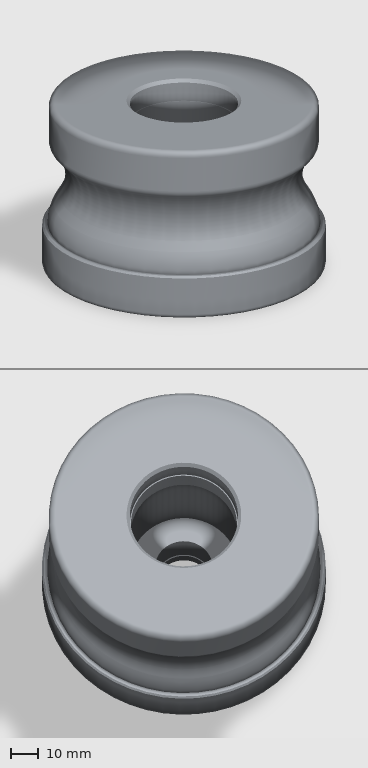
import cadquery as cq
import math

cup_radius = 50.8
total_height = 63.5

cup_height = 16.3
cup_floor = 4.1
recess_radius = 49.5
cup_hole_radius = 10.0
rim_chamfer = 0.6
cup_bottom_fillet = 1.6

head_radius = 48.4
head_top_fillet = 2.2
head_lower_fillet = 3.0

waist_radius = 42.5
waist_curve = 14.5
waist_height = 35.2
shoulder_radius = 48.9
shoulder_curve = 15.2

bore_radius = 19.4
land_radius = 19.0
land_top_depth = 8.1
land_bottom_depth = 16.4
bore_chamfer = 1.1
bore_floor = cup_height
knob_hole_radius = 10.4


def polar(center, radius, angle):
    """Point at an angle (radians) on a circle in the radius-height plane."""
    return (center[0] + radius * math.cos(angle), center[1] + radius * math.sin(angle))


def revolve_profile(profile):
    """Turn a closed radius-height outline about the Z axis."""
    return profile.close().revolve(360, (0, 0, 0), (0, 1, 0))


def make_cup():
    body = cq.Workplane("XY").circle(cup_radius).extrude(cup_height)
    body = body.faces("<Z").edges().fillet(cup_bottom_fillet)
    body = body.faces(">Z").edges().chamfer(rim_chamfer)
    recess = cq.Workplane("XY").workplane(offset=cup_floor).circle(recess_radius).extrude(cup_height)
    hole = cq.Workplane("XY").circle(cup_hole_radius).extrude(cup_height)
    return body.cut(recess).cut(hole)


def make_knob_body():
    waist_center = (waist_radius + waist_curve, waist_height)
    shoulder_center = (shoulder_radius - shoulder_curve, cup_height)

    run = waist_center[0] - shoulder_center[0]
    rise = waist_center[1] - shoulder_center[1]
    center_angle = math.atan2(rise, run)
    cone_angle = center_angle - math.acos((shoulder_curve + waist_curve) / math.hypot(run, rise))
    shoulder_end = polar(shoulder_center, shoulder_curve, cone_angle)
    waist_start = polar(waist_center, waist_curve, cone_angle + math.pi)

    fillet_x = head_radius - head_lower_fillet
    fillet_drop = math.acos((waist_center[0] - fillet_x) / (waist_curve + head_lower_fillet))
    fillet_center = (fillet_x, waist_height + (waist_curve + head_lower_fillet) * math.sin(fillet_drop))
    waist_end = polar(fillet_center, head_lower_fillet, -fillet_drop)

    top_center = (head_radius - head_top_fillet, total_height - head_top_fillet)

    profile = (
        cq.Workplane("XZ")
        .moveTo(0, cup_floor)
        .lineTo(recess_radius, cup_floor)
        .lineTo(recess_radius, cup_height)
        .lineTo(shoulder_radius, cup_height)
        .threePointArc(polar(shoulder_center, shoulder_curve, cone_angle / 2), shoulder_end)
        .lineTo(*waist_start)
        .threePointArc((waist_radius, waist_height), waist_end)
        .threePointArc(
            polar(fillet_center, head_lower_fillet, -fillet_drop / 2),
            (head_radius, fillet_center[1]),
        )
        .lineTo(head_radius, top_center[1])
        .threePointArc(
            polar(top_center, head_top_fillet, math.pi / 4),
            (top_center[0], total_height),
        )
        .lineTo(0, total_height)
    )
    return revolve_profile(profile)


def make_bore():
    land_top = total_height - land_top_depth
    land_bottom = total_height - land_bottom_depth
    profile = (
        cq.Workplane("XZ")
        .moveTo(0, cup_floor)
        .lineTo(knob_hole_radius, cup_floor)
        .lineTo(knob_hole_radius, bore_floor)
        .lineTo(bore_radius, bore_floor)
        .lineTo(bore_radius, land_bottom)
        .lineTo(land_radius, land_bottom)
        .lineTo(land_radius, land_top)
        .lineTo(bore_radius, land_top)
        .lineTo(bore_radius, total_height - bore_chamfer)
        .lineTo(bore_radius + bore_chamfer, total_height)
        .lineTo(0, total_height)
    )
    return revolve_profile(profile)


cup = make_cup()
knob = make_knob_body().cut(make_bore())

result = cq.Compound.makeCompound([cup.val(), knob.val()])